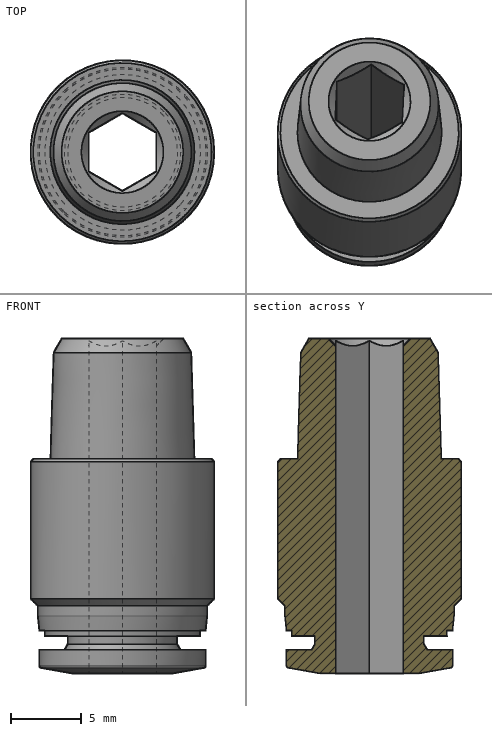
import cadquery as cq
import math

HEAD_EDGE_Z = 0.6
HEAD_TOP_Z = 1.7
NECK_FLARE_Z = 2.1
NECK_TOP_Z = 2.65
LEDGE_TOP_Z = 3.05
COLLAR_TAPER_TOP_Z = 4.1
COLLAR_TOP_Z = 4.8
SHOULDER_Z = 15.2
TOTAL_HEIGHT = 23.7

BOTTOM_FACE_DIAMETER = 6.95
HEAD_DIAMETER = 11.8
NECK_DIAMETER = 7.75
LEDGE_DIAMETER = 11.0
COLLAR_DIAMETER = 12.0
BODY_DIAMETER = 13.0
SPIGOT_BASE_DIAMETER = 10.2
SPIGOT_TOP_DIAMETER = 9.75

CROWN_ANGLE = 10.0
HEAD_EDGE_RADIUS = 0.2
NECK_FLARE_ANGLE = 30.0
COLLAR_TAPER_ANGLE = 6.0
BODY_TOP_CHAMFER = 0.2
SPIGOT_BEVEL_HEIGHT = 1.0
SPIGOT_BEVEL_ANGLE = 30.0

HEX_SIDES = 6
HEX_ACROSS_FLATS = 4.75
COUNTERSINK_DIAMETER = 5.8
COUNTERSINK_ANGLE = 90.0


def cone_run(height, angle):
    """Radial change of a cone of the given height, angle measured from the axis."""
    return height * math.tan(math.radians(angle))


def turned_blank():
    """Revolved outer shape, from the domed head up to the tapered spigot."""
    bottom_radius = BOTTOM_FACE_DIAMETER / 2
    head_radius = HEAD_DIAMETER / 2
    neck_radius = NECK_DIAMETER / 2
    ledge_radius = LEDGE_DIAMETER / 2
    collar_radius = COLLAR_DIAMETER / 2
    body_radius = BODY_DIAMETER / 2
    spigot_radius = SPIGOT_TOP_DIAMETER / 2

    crown = math.radians(CROWN_ANGLE)
    arc_center_x = head_radius - HEAD_EDGE_RADIUS
    mid_angle = (math.pi / 2 - crown) / 2
    arc_start_x = arc_center_x + HEAD_EDGE_RADIUS * math.sin(crown)
    arc_start_z = HEAD_EDGE_Z - HEAD_EDGE_RADIUS * math.cos(crown)
    arc_mid_x = arc_center_x + HEAD_EDGE_RADIUS * math.cos(mid_angle)
    arc_mid_z = HEAD_EDGE_Z - HEAD_EDGE_RADIUS * math.sin(mid_angle)

    flare_radius = neck_radius + cone_run(NECK_FLARE_Z - HEAD_TOP_Z, NECK_FLARE_ANGLE)
    taper_radius = collar_radius - cone_run(COLLAR_TAPER_TOP_Z - LEDGE_TOP_Z, COLLAR_TAPER_ANGLE)

    body_bottom_z = COLLAR_TOP_Z + body_radius - collar_radius

    bevel_z = TOTAL_HEIGHT - SPIGOT_BEVEL_HEIGHT
    tip_radius = spigot_radius - cone_run(SPIGOT_BEVEL_HEIGHT, SPIGOT_BEVEL_ANGLE)

    profile = (
        cq.Workplane("XZ")
        .lineTo(bottom_radius, 0)
        .lineTo(arc_start_x, arc_start_z)
        .threePointArc((arc_mid_x, arc_mid_z), (head_radius, HEAD_EDGE_Z))
        .lineTo(head_radius, HEAD_TOP_Z)
        .lineTo(flare_radius, HEAD_TOP_Z)
        .lineTo(neck_radius, NECK_FLARE_Z)
        .lineTo(neck_radius, NECK_TOP_Z)
        .lineTo(ledge_radius, NECK_TOP_Z)
        .lineTo(ledge_radius, LEDGE_TOP_Z)
        .lineTo(taper_radius, LEDGE_TOP_Z)
        .lineTo(collar_radius, COLLAR_TAPER_TOP_Z)
        .lineTo(collar_radius, COLLAR_TOP_Z)
        .lineTo(body_radius, body_bottom_z)
        .lineTo(body_radius, SHOULDER_Z - BODY_TOP_CHAMFER)
        .lineTo(body_radius - BODY_TOP_CHAMFER, SHOULDER_Z)
        .lineTo(SPIGOT_BASE_DIAMETER / 2, SHOULDER_Z)
        .lineTo(spigot_radius, bevel_z)
        .lineTo(tip_radius, TOTAL_HEIGHT)
        .lineTo(0, TOTAL_HEIGHT)
        .close()
    )
    return profile.revolve(360, (0, 0, 0), (0, 1, 0))


def hex_socket():
    """Through hexagon with two flats facing +X and -X."""
    across_corners = HEX_ACROSS_FLATS / math.cos(math.pi / HEX_SIDES)
    return (
        cq.Workplane("XY")
        .transformed(rotate=(0, 0, 90))
        .polygon(HEX_SIDES, across_corners)
        .extrude(TOTAL_HEIGHT)
    )


def countersink():
    """Conical lead-in at the mouth of the socket, coming to a point on the axis."""
    mouth_radius = COUNTERSINK_DIAMETER / 2
    depth = mouth_radius / math.tan(math.radians(COUNTERSINK_ANGLE / 2))
    cone = cq.Solid.makeCone(0, mouth_radius, depth, cq.Vector(0, 0, TOTAL_HEIGHT - depth))
    return cq.Workplane(obj=cone)


result = turned_blank().cut(hex_socket()).cut(countersink())